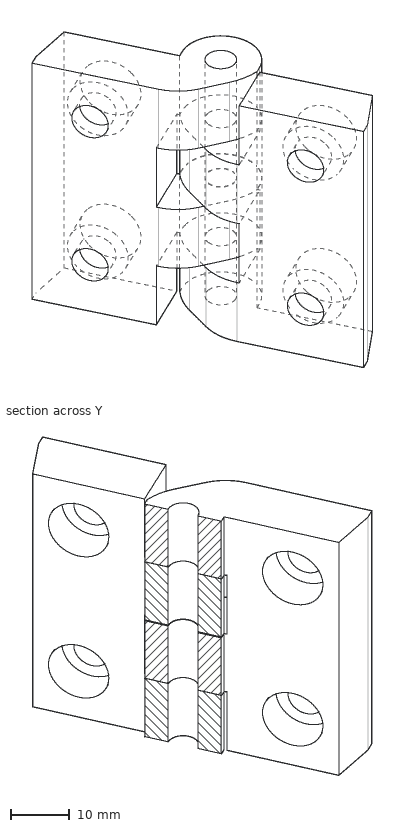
import cadquery as cq
import math


width = 60.0
height = 49.5
leaf_reach = width / 2

plate_thickness = 10.5
plate_top_y = -1.25
plate_bottom_y = plate_top_y - plate_thickness
edge_land = 2.0
edge_taper = 2.1

knuckle_radius = 7.0
pin_hole_diameter = 5.4
knuckle_height = height / 4
mid_gap = 0.1
side_gap = 0.5
plate_inner_x = knuckle_radius + side_gap

neck_start_x = -7.1
neck_radius = 10.0
neck_angle = math.radians(40)
neck_line_end_x = 3.6

screw_hole_diameter = 6.6
screw_head_diameter = 11.0
screw_head_depth = 6.5
screw_x = -19.5
screw_spacing_z = 30.0


def leaf_blank():
    """Plate, swan neck and knuckle as one profile over the whole height, reaching to -X."""
    neck_arc_mid = (
        neck_start_x + neck_radius * math.sin(neck_angle / 2),
        plate_bottom_y + neck_radius * (1 - math.cos(neck_angle / 2)),
    )
    neck_arc_end = (
        neck_start_x + neck_radius * math.sin(neck_angle),
        plate_bottom_y + neck_radius * (1 - math.cos(neck_angle)),
    )
    neck_line_rise = (neck_line_end_x - neck_arc_end[0]) * math.tan(neck_angle)
    neck_line_end = (neck_line_end_x, neck_arc_end[1] + neck_line_rise)
    return (
        cq.Workplane("XY", origin=(0, 0, -height / 2))
        .moveTo(-leaf_reach, plate_bottom_y)
        .lineTo(neck_start_x, plate_bottom_y)
        .threePointArc(neck_arc_mid, neck_arc_end)
        .lineTo(*neck_line_end)
        .tangentArcPoint((knuckle_radius, plate_top_y), relative=False)
        .lineTo(knuckle_radius, 0)
        .threePointArc((0, knuckle_radius), (-knuckle_radius, 0))
        .lineTo(-knuckle_radius, plate_top_y)
        .lineTo(-leaf_reach + edge_taper, plate_top_y)
        .lineTo(-leaf_reach, plate_bottom_y + edge_land)
        .close()
        .extrude(height)
    )


def knuckle_slot(bottom_z, top_z):
    """Space cleared between two heights for a knuckle of the other leaf."""
    slot_width = plate_inner_x + knuckle_radius
    slot_depth = knuckle_radius - plate_bottom_y
    return (
        cq.Workplane("XY", origin=(-plate_inner_x, plate_bottom_y, bottom_z))
        .rect(slot_width, slot_depth, centered=False)
        .extrude(top_z - bottom_z)
    )


def screw_hole(z):
    """Through hole with a head recess sunk from the knuckle side."""
    head_face = cq.Workplane("XZ", origin=(screw_x, plate_top_y, z))
    shank = head_face.circle(screw_hole_diameter / 2).extrude(plate_thickness)
    head = head_face.circle(screw_head_diameter / 2).extrude(screw_head_depth)
    return shank.union(head)


def make_leaf():
    """Leaf reaching to -X, with knuckles in the first and third places from the top."""
    pin_hole = (
        cq.Workplane("XY", origin=(0, 0, -height / 2))
        .circle(pin_hole_diameter / 2)
        .extrude(height)
    )
    leaf = leaf_blank().cut(pin_hole)
    leaf = leaf.cut(knuckle_slot(-mid_gap / 2, knuckle_height))
    leaf = leaf.cut(knuckle_slot(-height / 2, -knuckle_height))
    for z in (-screw_spacing_z / 2, screw_spacing_z / 2):
        leaf = leaf.cut(screw_hole(z))
    return leaf


leaves = []
for turn in (0, 180):
    leaves.append(make_leaf().rotate((0, 0, 0), (0, 1, 0), turn))

result = cq.Compound.makeCompound([leaf.val() for leaf in leaves])